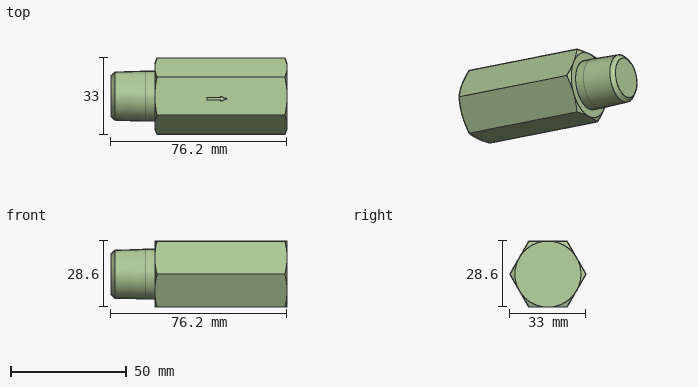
import cadquery as cq
import math

TOTAL_LENGTH = 76.2
HEX_LENGTH = 57.15
ACROSS_FLATS = 28.575
SPIGOT_DIAMETER = 21.67
COLLAR_LENGTH = 4.0
TAPER_RATIO = 1 / 16
NOSE_CHAMFER = 1.75
HEX_CHAMFER_ANGLE = 23.0

ARROW_START = 22.6
ARROW_SHAFT_LENGTH = 5.8
ARROW_SHAFT_WIDTH = 1.0
ARROW_HEAD_LENGTH = 2.75
ARROW_HEAD_WIDTH = 2.1
ARROW_CENTER_Y = -1.15
ARROW_DEPTH = 0.1

ACROSS_CORNERS = ACROSS_FLATS / math.cos(math.radians(30))
SPIGOT_LENGTH = TOTAL_LENGTH - HEX_LENGTH
TAPER_LENGTH = SPIGOT_LENGTH - COLLAR_LENGTH - NOSE_CHAMFER


def make_hexagon():
    """Hexagonal bar with flats facing +Z and -Z and both ends turned to a cone."""
    bar = cq.Workplane("YZ").polygon(6, ACROSS_CORNERS).extrude(HEX_LENGTH)
    flat_radius = ACROSS_FLATS / 2
    corner_radius = ACROSS_CORNERS / 2
    setback = (corner_radius - flat_radius) * math.tan(math.radians(HEX_CHAMFER_ANGLE))
    turned_envelope = (
        cq.Workplane("XY")
        .polyline([
            (0, 0),
            (0, flat_radius),
            (setback, corner_radius),
            (HEX_LENGTH - setback, corner_radius),
            (HEX_LENGTH, flat_radius),
            (HEX_LENGTH, 0),
        ])
        .close()
        .revolve(360, (0, 0, 0), (1, 0, 0))
    )
    return bar.intersect(turned_envelope)


def make_spigot():
    """Turned spigot: straight collar, tapered body and chamfered nose."""
    collar_radius = SPIGOT_DIAMETER / 2
    taper_end_radius = collar_radius - TAPER_LENGTH * TAPER_RATIO / 2
    return (
        cq.Workplane("XY")
        .polyline([
            (0, 0),
            (0, collar_radius),
            (-COLLAR_LENGTH, collar_radius),
            (NOSE_CHAMFER - SPIGOT_LENGTH, taper_end_radius),
            (-SPIGOT_LENGTH, taper_end_radius - NOSE_CHAMFER),
            (-SPIGOT_LENGTH, 0),
        ])
        .close()
        .revolve(360, (0, 0, 0), (1, 0, 0))
    )


def make_arrow_cutter():
    """Arrow-shaped block reaching from the top flat down to the engraving depth."""
    half_shaft = ARROW_SHAFT_WIDTH / 2
    half_head = ARROW_HEAD_WIDTH / 2
    tip = ARROW_SHAFT_LENGTH + ARROW_HEAD_LENGTH
    return (
        cq.Workplane("XY", origin=(ARROW_START, ARROW_CENTER_Y, ACROSS_FLATS / 2))
        .polyline([
            (0, -half_shaft),
            (ARROW_SHAFT_LENGTH, -half_shaft),
            (ARROW_SHAFT_LENGTH, -half_head),
            (tip, 0),
            (ARROW_SHAFT_LENGTH, half_head),
            (ARROW_SHAFT_LENGTH, half_shaft),
            (0, half_shaft),
        ])
        .close()
        .extrude(-ARROW_DEPTH)
    )


result = make_hexagon().union(make_spigot()).cut(make_arrow_cutter())